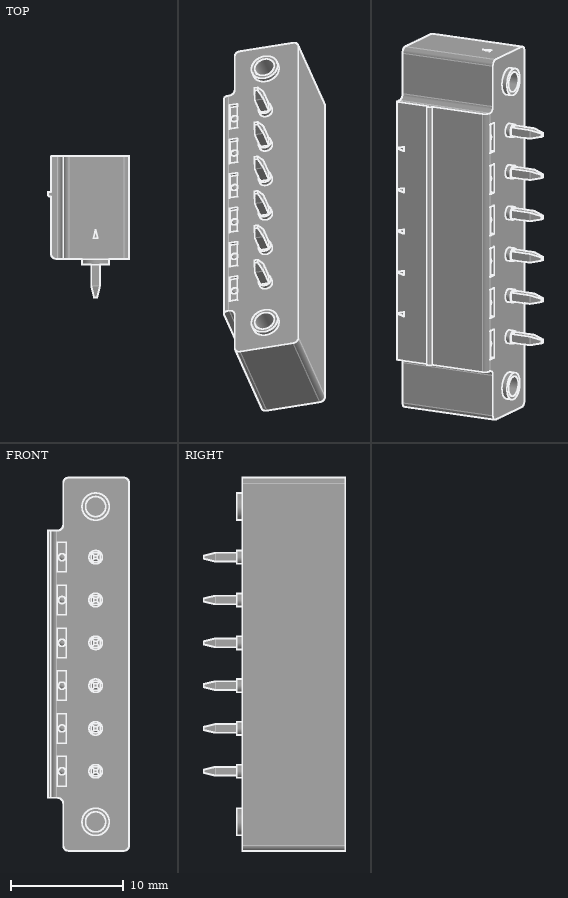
import cadquery as cq


length = 33.25
depth = 9.18
right_side = 3.0
block_left = -2.9
slab_left = -4.0
slab_length = 23.8
corner_radius = 0.5
slab_front_radius = 0.5
slab_back_radius = 0.1
selection_margin = 0.03

overall_width = 7.25
outer_left = right_side - overall_width
ridge_front = 5.55
ridge_back = 6.0
ridge_front_radius = 0.2

pin_count = 6
pin_row_length = 19.05
pin_pitch = pin_row_length / (pin_count - 1)
pin_positions = [-pin_row_length / 2 + i * pin_pitch for i in range(pin_count)]
pin_width = 0.8
pin_tip_width = 0.3
pin_reach = 3.42
pin_taper_start = 2.4

root_depth = 0.33

standoff_height = 0.5
collar_diameter = 1.2
boss_diameter = 2.43
boss_bore_diameter = 1.8
boss_bore_depth = 2.65
boss_spacing = 28.05

slot_left = -3.4
slot_right = -2.63
slot_length = 2.63
slot_depth = 0.35
dome_x = -3.0
dome_radius = 0.33
dome_sink = 0.1
dome_centre_depth = slot_depth + dome_sink

marker_width = 0.4
marker_length = 0.8
marker_depth = 0.1
end_marker_base = 1.83
slab_marker_reach = 0.73
slab_marker_base = depth - slab_marker_reach


def box_between(x_range, y_range, z_range):
    """Axis-aligned box spanning the given (low, high) ranges."""
    ranges = (x_range, y_range, z_range)
    sizes = [high - low for low, high in ranges]
    corner = cq.Vector(*[low for low, _ in ranges])
    return cq.Workplane("XY").add(cq.Solid.makeBox(*sizes, corner))


def rod(diameter, z, y_start, y_end):
    """Cylinder along Y on the pin axis plane."""
    start = cq.Vector(0, y_start, z)
    return cq.Workplane("XY").add(
        cq.Solid.makeCylinder(diameter / 2, y_end - y_start, start, cq.Vector(0, 1, 0))
    )


def make_housing():
    """Full-length block with a shorter slab standing proud of its -X side."""
    block = box_between((block_left, right_side), (0, depth), (-length / 2, length / 2))
    slab = box_between((slab_left, 0), (0, depth), (-slab_length / 2, slab_length / 2))
    slab = slab.faces("<X").edges("<Y").fillet(slab_front_radius)
    slab = slab.faces("<X").edges(">Y").fillet(slab_back_radius)
    block = block.edges("|Y").fillet(corner_radius)
    inner_corners = cq.selectors.BoxSelector(
        (block_left - selection_margin, -selection_margin, -slab_length / 2 - selection_margin),
        (block_left + selection_margin, depth + selection_margin, slab_length / 2 + selection_margin),
    )
    return block.union(slab).edges("|Y").edges(inner_corners).fillet(corner_radius)


def make_ridge():
    """Ridge with a square back edge and a rounded front edge."""
    ridge = box_between(
        (outer_left, 0),
        (ridge_front, ridge_back),
        (-slab_length / 2, slab_length / 2),
    )
    return ridge.faces("<X").edges("<Y").fillet(ridge_front_radius)


def make_pin(z):
    """Square pin with a tapered tip, standing in a round collar."""
    shank = box_between(
        (-pin_width / 2, pin_width / 2),
        (-pin_taper_start, root_depth),
        (z - pin_width / 2, z + pin_width / 2),
    )
    tip = (
        cq.Workplane("XZ", origin=(0, -pin_taper_start, z))
        .rect(pin_width, pin_width)
        .workplane(offset=pin_reach - pin_taper_start)
        .rect(pin_tip_width, pin_tip_width)
        .loft()
    )
    return shank.union(tip).union(rod(collar_diameter, z, -standoff_height, root_depth))


def make_slot(z):
    """Material to remove for one slot, leaving the dome standing."""
    half = slot_length / 2
    slot = box_between((slot_left, slot_right), (0, slot_depth), (z - half, z + half))
    dome = cq.Workplane("XY", origin=(dome_x, dome_centre_depth, z)).sphere(dome_radius)
    return slot.cut(dome)


def make_marker(plane, origin, height):
    """Triangular prism whose point faces +Y; the plane's local y axis runs along Y."""
    outline = [(-marker_width / 2, 0), (marker_width / 2, 0), (0, marker_length)]
    return cq.Workplane(plane, origin=origin).polyline(outline).close().extrude(height)


housing = make_housing().union(make_ridge())

for z in pin_positions:
    housing = housing.cut(make_slot(z)).union(make_pin(z))

for z in (-boss_spacing / 2, boss_spacing / 2):
    housing = housing.union(rod(boss_diameter, z, -standoff_height, root_depth))
    housing = housing.cut(rod(boss_bore_diameter, z, -standoff_height, boss_bore_depth))

for z in pin_positions[:-1]:
    origin = (slab_left, slab_marker_base, z + pin_pitch / 2)
    housing = housing.cut(make_marker("ZY", origin, -marker_depth))

housing = housing.cut(make_marker("XY", (0, end_marker_base, length / 2), -marker_depth))

result = housing